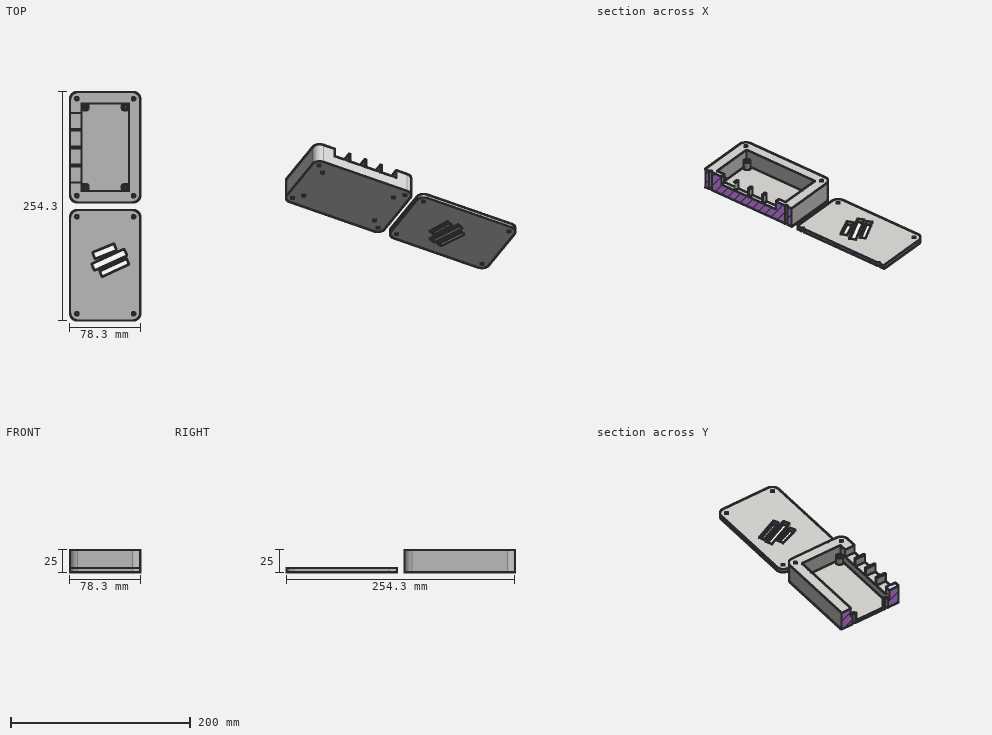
import cadquery as cq

width = 78.3
length = 123.0
total_length = 254.3
corner_radius = 8.6
screw_inset = 7.6
screw_diameter = 3.3

tray_height = 25.0
floor_thickness = 4.0
wall = 13.0
boss_diameter = 8.0
boss_height = 9.5
boss_hole_diameter = 3.5
notch_count = 4
notch_width = 17.8
notch_depth = 10.7
notch_pitch = 19.8
notch_row_y = -0.5

lid_thickness = 5.0
lid_slots = [
    (-0.8, 15.5, 25.7, 7.6, 22.0),
    (4.5, 6.0, 39.7, 8.0, 24.6),
    (10.2, -2.8, 32.8, 6.5, 24.8),
]

body_offset = (total_length - length) / 2
cavity_width = width - 2 * wall
cavity_length = length - 2 * wall
boss_spacing_x = cavity_width - boss_diameter
boss_spacing_y = cavity_length - boss_diameter


def rounded_plate(height):
    """Block with rounded vertical edges and a screw hole through each corner."""
    return (
        cq.Workplane("XY")
        .rect(width, length)
        .extrude(height)
        .edges("|Z")
        .fillet(corner_radius)
        .faces(">Z")
        .workplane(origin=(0, 0, height))
        .rect(width - 2 * screw_inset, length - 2 * screw_inset, forConstruction=True)
        .vertices()
        .hole(screw_diameter)
    )


def boss_cylinders(diameter, bottom, height):
    """Four upright cylinders at the boss positions."""
    return (
        cq.Workplane("XY", origin=(0, 0, bottom))
        .rect(boss_spacing_x, boss_spacing_y, forConstruction=True)
        .vertices()
        .circle(diameter / 2)
        .extrude(height)
    )


def notch_cutter():
    """Row of rectangular notches through the top of the -X wall."""
    return (
        cq.Workplane("XY", origin=((wall - width) / 2, notch_row_y, tray_height - notch_depth))
        .rarray(2.5, notch_pitch, 1, notch_count)
        .rect(wall, notch_width)
        .extrude(notch_depth)
    )


def make_tray():
    """Open tray with four hollow bosses on its floor."""
    cavity = (
        cq.Workplane("XY", origin=(0, 0, floor_thickness))
        .rect(cavity_width, cavity_length)
        .extrude(tray_height - floor_thickness)
    )
    boss_top = floor_thickness + boss_height
    return (
        rounded_plate(tray_height)
        .cut(cavity)
        .cut(notch_cutter())
        .union(boss_cylinders(boss_diameter, 0, boss_top))
        .cut(boss_cylinders(boss_hole_diameter, 0, boss_top))
    )


def make_lid():
    """Flat lid with three slanted slots through it."""
    lid = rounded_plate(lid_thickness)
    for center_x, center_y, slot_length, slot_width, angle in lid_slots:
        slot = (
            cq.Workplane("XY")
            .rect(slot_length, slot_width)
            .extrude(lid_thickness)
            .rotate((0, 0, 0), (0, 0, 1), angle)
            .translate((center_x, center_y, 0))
        )
        lid = lid.cut(slot)
    return lid


tray = make_tray().translate((0, body_offset, 0))
lid = make_lid().translate((0, -body_offset, 0))

result = cq.Compound.makeCompound([tray.val(), lid.val()])